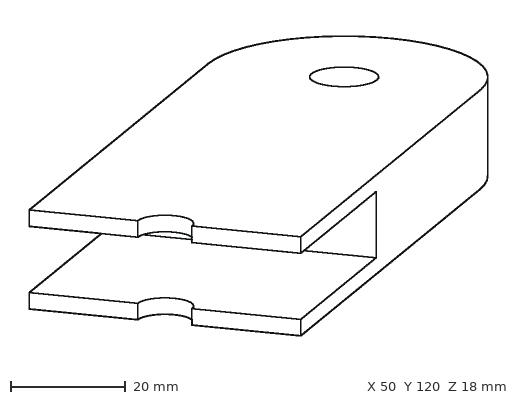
import cadquery as cq

length = 120.0
width = 50.0
thickness = 18.0

plate_thickness = 3.0
slot_depth = 40.0
notch_diameter = 10.0

pivot_diameter = 12.0

end_radius = width / 2
pivot_y = length - end_radius
slot_height = thickness - 2 * plate_thickness


def make_body():
    """Bar with a square end at Y = 0 and a full-round end at Y = length."""
    return (
        cq.Workplane("XY")
        .moveTo(-end_radius, 0)
        .lineTo(end_radius, 0)
        .lineTo(end_radius, pivot_y)
        .threePointArc((0, length), (-end_radius, pivot_y))
        .close()
        .extrude(thickness)
    )


def make_through_hole(y, diameter):
    """Vertical cutter on the centerline, as tall as the bar."""
    return cq.Workplane("XY").center(0, y).circle(diameter / 2).extrude(thickness)


def make_fork_slot():
    """Slot across the full width that leaves two thin plates."""
    return (
        cq.Workplane("XY")
        .workplane(offset=plate_thickness)
        .box(width, slot_depth, slot_height, centered=(True, False, False))
    )


result = (
    make_body()
    .cut(make_fork_slot())
    .cut(make_through_hole(pivot_y, pivot_diameter))
    .cut(make_through_hole(0, notch_diameter))
)